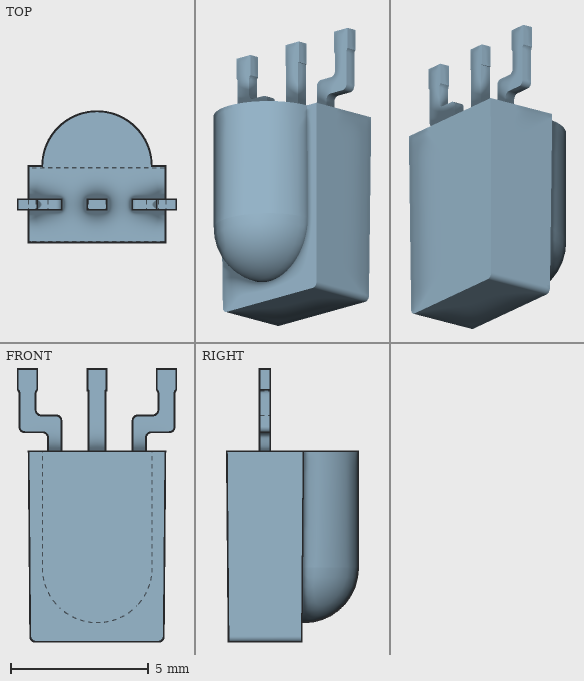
import cadquery as cq
import math


housing_width = 4.99
housing_depth = 2.8
housing_height = 6.96
draft_angle = 0.5
bottom_radius = 0.2
lens_radius = 2.0
lens_straight = 4.25
lens_root_depth = 0.2

overall_height = 9.95
lead_length = overall_height - housing_height
lead_thickness = 0.4
lead_back = -1.2

middle_width = 0.63
middle_tip_width = 0.7
middle_tip_length = 0.79

overall_width = 5.78
outer_tip_width = 0.72
outer_tip_length = 0.77
outer_shank_width = 0.6
shoulder_height = 0.13
leg_inner = 1.29
leg_width = 0.5
crank_bottom = 0.69
crank_height = 0.62
bend_radius = 0.2


def make_housing():
    """Drafted block with rounded lower side edges, fused with the lens."""
    block = (
        cq.Workplane("XY")
        .center(0, -housing_depth / 2)
        .rect(housing_width, housing_depth)
        .extrude(-housing_height, taper=draft_angle)
    )
    block = block.faces("<Z").edges("<X or >X").fillet(bottom_radius)
    return block.union(make_lens())


def make_lens():
    """Half-round lens ending in a quarter-sphere, with a straight root reaching into the drafted block."""
    lens_bottom = -lens_straight - lens_radius
    arc_offset = lens_radius * math.sqrt(0.5)
    half_profile = (
        cq.Workplane("XZ")
        .lineTo(lens_radius, 0)
        .lineTo(lens_radius, -lens_straight)
        .threePointArc((arc_offset, -lens_straight - arc_offset), (0, lens_bottom))
        .close()
    )
    half_round = half_profile.revolve(180, (0, 0, 0), (0, 1, 0))
    root = (
        cq.Workplane("XZ")
        .moveTo(-lens_radius, 0)
        .lineTo(lens_radius, 0)
        .lineTo(lens_radius, -lens_straight)
        .threePointArc((0, lens_bottom), (-lens_radius, -lens_straight))
        .close()
        .extrude(lens_root_depth)
    )
    return half_round.union(root)


def lead_plane():
    """Sketch plane on the back of the leads; extrusion runs towards -Y."""
    return cq.Workplane("XZ", origin=(0, lead_back, 0))


def make_middle_lead():
    """Straight lead with a wider tip."""
    shank = (
        lead_plane()
        .center(0, lead_length / 2)
        .rect(middle_width, lead_length)
        .extrude(lead_thickness)
    )
    tip = (
        lead_plane()
        .center(0, lead_length - middle_tip_length / 2)
        .rect(middle_tip_width, middle_tip_length)
        .extrude(lead_thickness)
    )
    return shank.union(tip)


def make_outer_lead(side):
    """Cranked lead on the +X (side = 1) or -X (side = -1) side."""
    leg_outer = leg_inner + leg_width
    tip_outer = overall_width / 2
    tip_inner = tip_outer - outer_tip_width
    shoulder_step = (outer_tip_width - outer_shank_width) / 2
    shank_outer = tip_outer - shoulder_step
    shank_inner = tip_inner + shoulder_step
    crank_top = crank_bottom + crank_height
    tip_bottom = lead_length - outer_tip_length
    shank_top = tip_bottom - shoulder_height

    lead = (
        lead_plane()
        .moveTo(side * leg_inner, 0)
        .lineTo(side * leg_outer, 0)
        .lineTo(side * leg_outer, crank_bottom)
        .lineTo(side * shank_outer, crank_bottom)
        .lineTo(side * shank_outer, shank_top)
        .tangentArcPoint((side * tip_outer, tip_bottom), relative=False)
        .lineTo(side * tip_outer, lead_length)
        .lineTo(side * tip_inner, lead_length)
        .lineTo(side * tip_inner, tip_bottom)
    )
    arc_radius = (shoulder_height**2 + shoulder_step**2) / (2 * shoulder_step)
    lead = (
        lead.radiusArc((side * shank_inner, shank_top), side * arc_radius)
        .lineTo(side * shank_inner, crank_top)
        .lineTo(side * leg_inner, crank_top)
        .close()
        .extrude(lead_thickness)
    )

    def bend_edge(x, z):
        middle = (side * x, lead_back - lead_thickness / 2, z)
        return cq.selectors.NearestToPointSelector(middle)

    for x, z in [
        (leg_outer, crank_bottom),
        (shank_outer, crank_bottom),
        (leg_inner, crank_top),
        (shank_inner, crank_top),
    ]:
        lead = lead.edges("|Y").edges(bend_edge(x, z)).fillet(bend_radius)
    return lead


housing = make_housing()
middle_lead = make_middle_lead()
outer_leads = [make_outer_lead(side) for side in (-1, 1)]

result = cq.Compound.makeCompound(
    [housing.val(), middle_lead.val(), *[lead.val() for lead in outer_leads]]
)